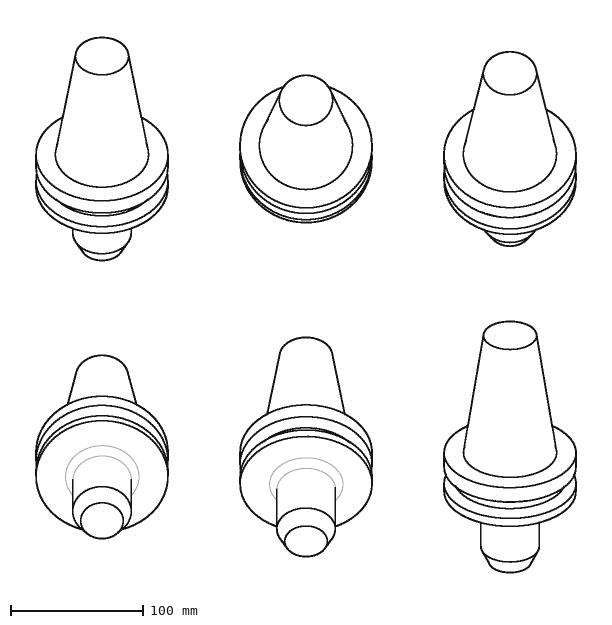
import cadquery as cq

total_height = 201.8

nose_tip_radius = 16.1
nose_height = 13.3
shank_radius = 22.2
shank_fillet = 5.7

flange_radius = 50.0
flange_bottom = 62.5
lower_rim_top = 69.6
groove_floor_bottom = 73.7
groove_floor_top = 80.0
upper_rim_bottom = 84.2
flange_top = 97.0
groove_radius = 85.0 / 2

taper_base_radius = 35.3
taper_top_radius = 20.2

profile = (
    cq.Workplane("XZ")
    .lineTo(nose_tip_radius, 0)
    .lineTo(shank_radius, nose_height)
    .lineTo(shank_radius, flange_bottom - shank_fillet)
    .radiusArc((shank_radius + shank_fillet, flange_bottom), shank_fillet)
    .lineTo(flange_radius, flange_bottom)
    .lineTo(flange_radius, lower_rim_top)
    .lineTo(groove_radius, groove_floor_bottom)
    .lineTo(groove_radius, groove_floor_top)
    .lineTo(flange_radius, upper_rim_bottom)
    .lineTo(flange_radius, flange_top)
    .lineTo(taper_base_radius, flange_top)
    .lineTo(taper_top_radius, total_height)
    .lineTo(0, total_height)
    .close()
)

result = profile.revolve(360, (0, 0, 0), (0, 1, 0))